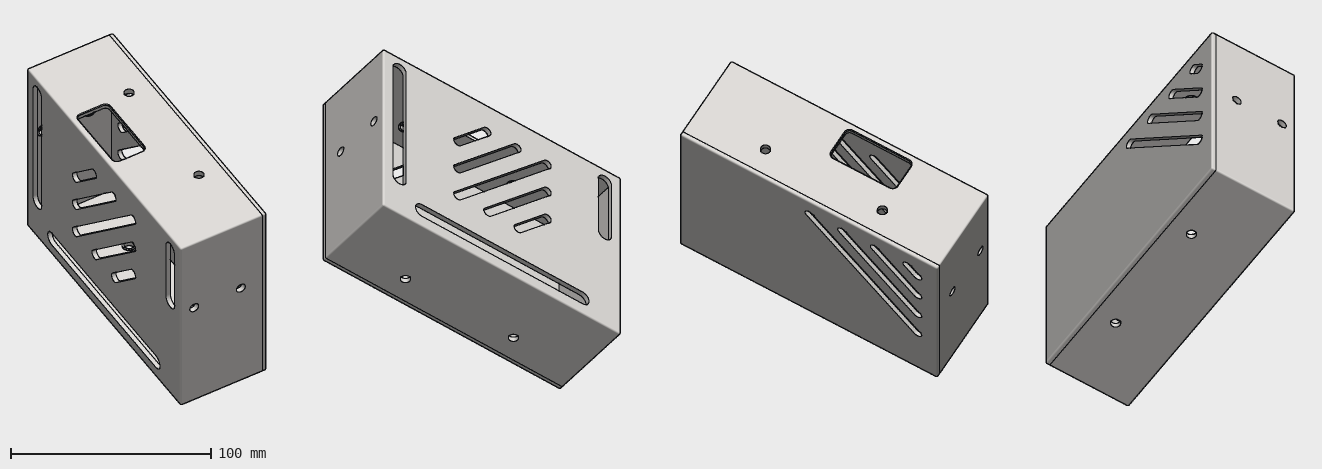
import cadquery as cq
import math

length = 150.0
depth = 50.0
height = 110.0
wall = 2.5
lid_thickness = 2.4
edge_radius = 0.98

front_y = -depth / 2
lid_front_y = depth / 2 - lid_thickness
cut_margin = 1.5

slot_width = 8.3
side_slot_x = 64.8
side_slot_top = 50.1
left_slot_length = 84.2
right_slot_length = 44.3
bottom_slot_length = 109.5
bottom_slot_z = -44.3

vent_angle = 45
vent_width = 5.1
vent_step = 19.0
vent_bottom_z = -20.1
front_vent_left = -28.0
front_vent_side = 56.4
front_vent_steps = range(-2, 3)
back_vent_left = -63.5
back_vent_side = 63.0
back_vent_steps = range(4)

port_x = -14.1
port_y = -12.3
mouth_length = 39.0
mouth_width = 19.0
mouth_corner_radius = 3.0
port_chamfer = 0.5

hole_diameter = 5.1
rim_diameter = 7.2
rim_height = 0.5
vertical_hole_centers = [(-34.0, 10.0), (34.0, 10.0)]
cross_hole_centers = [(-17.1, 10.0), (10.0, 10.0)]


def rounded_block():
    """Outer shape of the closed box, with every edge rounded."""
    return cq.Workplane("XY").box(length, depth, height).edges().fillet(edge_radius)


def lid_space():
    """Everything behind the plane where the housing ends and the lid begins."""
    return (
        cq.Workplane("XY", origin=(0, lid_front_y, 0))
        .box(2 * length, depth, 2 * height, centered=(True, False, True))
    )


def cavity():
    """Inside of the housing, open towards the lid."""
    return (
        cq.Workplane("XY", origin=(0, front_y + wall, 0))
        .box(length - 2 * wall, depth, height - 2 * wall, centered=(True, False, True))
    )


def slot_cutter(x, z, overall_length, width, angle, y_start, y_end):
    """Round-ended slot centred on (x, z), its long axis turned by angle from X, cut along Y."""
    return (
        cq.Workplane("XZ", origin=(x, y_end, z))
        .slot2D(overall_length, width, angle)
        .extrude(y_end - y_start)
    )


def cut_vents(body, left_x, side, steps, y_start, y_end):
    """Cut diagonal slots: step 0 is the diagonal of the square, positive steps lie above it."""
    for step in steps:
        offset = step * vent_step
        run = side - abs(offset)
        start_x = left_x + max(0, -offset)
        start_z = vent_bottom_z + max(0, offset)
        overall_length = run * math.sqrt(2) + vent_width
        body = body.cut(
            slot_cutter(
                start_x + run / 2, start_z + run / 2,
                overall_length, vent_width, vent_angle, y_start, y_end,
            )
        )
    return body


def cut_front_openings(body):
    """Cut the three straight slots and the vents through the front wall."""
    y_start = front_y - cut_margin
    y_end = front_y + wall + cut_margin
    for x, slot_length in ((-side_slot_x, left_slot_length), (side_slot_x, right_slot_length)):
        z = side_slot_top - slot_length / 2
        body = body.cut(slot_cutter(x, z, slot_length, slot_width, 90, y_start, y_end))
    body = body.cut(
        slot_cutter(0, bottom_slot_z, bottom_slot_length, slot_width, 0, y_start, y_end)
    )
    return cut_vents(body, front_vent_left, front_vent_side, front_vent_steps, y_start, y_end)


def port_outline(inset):
    """Rounded rectangle of the port mouth, moved inwards by inset."""
    return (
        cq.Sketch()
        .rect(mouth_length - 2 * inset, mouth_width - 2 * inset)
        .vertices()
        .fillet(mouth_corner_radius - inset)
    )


def cut_port(body):
    """Cut the port through the top wall and flare its mouth."""
    top = cq.Workplane("XY", origin=(port_x, port_y, height / 2))
    opening = top.placeSketch(port_outline(port_chamfer)).extrude(-(wall + cut_margin))
    flare = top.placeSketch(
        port_outline(0),
        port_outline(port_chamfer).moved(cq.Location(cq.Vector(0, 0, -port_chamfer))),
    ).loft()
    return body.cut(opening).cut(flare)


def add_rimmed_holes(body, plane, centers, span):
    """Add rims inside two opposite walls, span apart outside, and drill through both."""
    inner_reach = span / 2 - wall
    points = cq.Workplane(plane).pushPoints(centers)
    posts = points.circle(rim_diameter / 2).extrude(inner_reach + wall / 2, both=True)
    gap = points.circle(rim_diameter).extrude(inner_reach - rim_height, both=True)
    drills = points.circle(hole_diameter / 2).extrude(span, both=True)
    return body.union(posts.cut(gap)).cut(drills)


def make_housing():
    """Box without its back: front openings, port and rimmed holes."""
    body = rounded_block().cut(lid_space()).cut(cavity())
    body = add_rimmed_holes(body, "XY", vertical_hole_centers, height)
    body = add_rimmed_holes(body, "YZ", cross_hole_centers, length)
    body = cut_front_openings(body)
    return cut_port(body)


def make_lid():
    """Flat back plate with diagonal vents near its -X end."""
    body = rounded_block().intersect(lid_space())
    return cut_vents(
        body, back_vent_left, back_vent_side, back_vent_steps,
        lid_front_y - cut_margin, depth / 2 + cut_margin,
    )


housing = make_housing()
lid = make_lid()
result = cq.Compound.makeCompound([housing.solids().val(), lid.solids().val()])